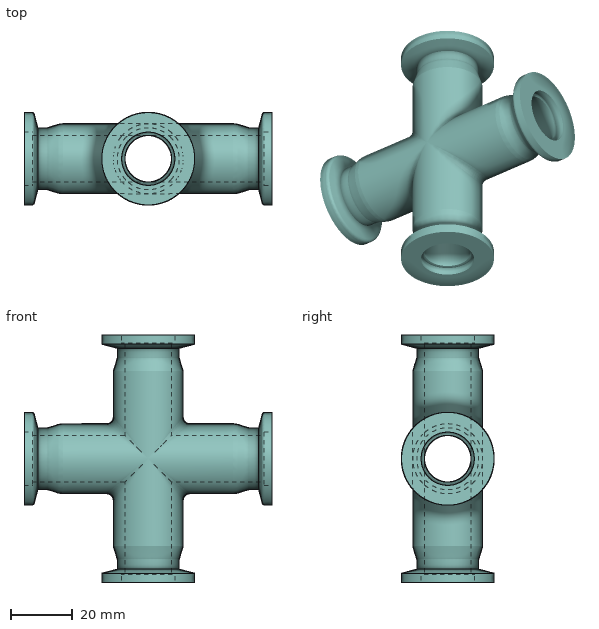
import cadquery as cq
import math

ARM_LENGTH = 40.0
TUBE_RADIUS = 11.3
NECK_RADIUS = 10.0
BORE_RADIUS = 7.5
CORNER_FILLET = 2.0

FLANGE_RADIUS = 15.0
RIM_THICKNESS = 3.0
FLANGE_BACK_ANGLE = 15.0
SEAT_RADIUS = 8.6
SEAT_DEPTH = 2.6

TAPER_START = 7.5
TAPER_END = 11.75

RIM_FILLET = 1.0
TAPER_FILLET = 5.0

taper_inner = ARM_LENGTH - TAPER_END
taper_outer = ARM_LENGTH - TAPER_START
rim_back = ARM_LENGTH - RIM_THICKNESS
flange_slope = math.tan(math.radians(FLANGE_BACK_ANGLE))
flange_root = rim_back - (FLANGE_RADIUS - NECK_RADIUS) * flange_slope


def make_end():
    """Solid end of the +Z arm, from the start of the taper out to the flange face."""
    outline = [
        (0, taper_inner),
        (TUBE_RADIUS, taper_inner),
        (NECK_RADIUS, taper_outer),
        (NECK_RADIUS, flange_root),
        (FLANGE_RADIUS, rim_back),
        (FLANGE_RADIUS, ARM_LENGTH),
        (0, ARM_LENGTH),
    ]
    return cq.Workplane("YZ").polyline(outline).close().revolve(360, (0, 0, 0), (0, 1, 0))


def circle_around_x(position):
    """Selector for the outer circular edge lying square to the X axis at the given position."""
    margin = 0.1
    reach = FLANGE_RADIUS + margin
    return cq.selectors.BoxSelector(
        (position - margin, -reach, -reach), (position + margin, reach, reach), boundingbox=True
    )


def with_mirror(shape, plane):
    """Join a shape to its mirror image."""
    return shape.union(shape.mirror(plane))


def make_crossing():
    """Two crossed solid tubes, with a fillet along each corner where they meet.

    The fillets fade to nothing where the corners run together, so one quadrant is
    filleted by itself and then mirrored.
    """
    width = 2 * FLANGE_RADIUS
    corner = cq.Workplane("XY").box(taper_inner, width, taper_inner, centered=(False, True, False))
    upright = cq.Workplane("XY").circle(TUBE_RADIUS).extrude(taper_inner)
    level = cq.Workplane("YZ").circle(TUBE_RADIUS).extrude(taper_inner)
    quadrant = upright.union(level).intersect(corner)
    quadrant = quadrant.edges("%ELLIPSE").fillet(CORNER_FILLET)
    return with_mirror(with_mirror(quadrant, "YZ"), "XY")


def make_body():
    """Solid cross: the crossing piece with an end on each of its four tubes."""
    top_end = make_end()
    body = make_crossing()
    for turn in (0, 90, 180, 270):
        body = body.union(top_end.rotate((0, 0, 0), (0, 1, 0), turn))
    for side in (-1, 1):
        body = body.edges(circle_around_x(side * taper_inner)).fillet(TAPER_FILLET)
        body = body.edges(circle_around_x(side * rim_back)).fillet(RIM_FILLET)
    return body


def make_passage(plane):
    """Straight bore through two opposite arms, with a wider seat in each flange face."""
    passage = cq.Workplane(plane).circle(BORE_RADIUS).extrude(ARM_LENGTH, both=True)
    for side in (-1, 1):
        face = cq.Workplane(plane).workplane(offset=side * ARM_LENGTH)
        passage = passage.union(face.circle(SEAT_RADIUS).extrude(-side * SEAT_DEPTH))
    return passage


result = make_body().cut(make_passage("XY")).cut(make_passage("YZ"))